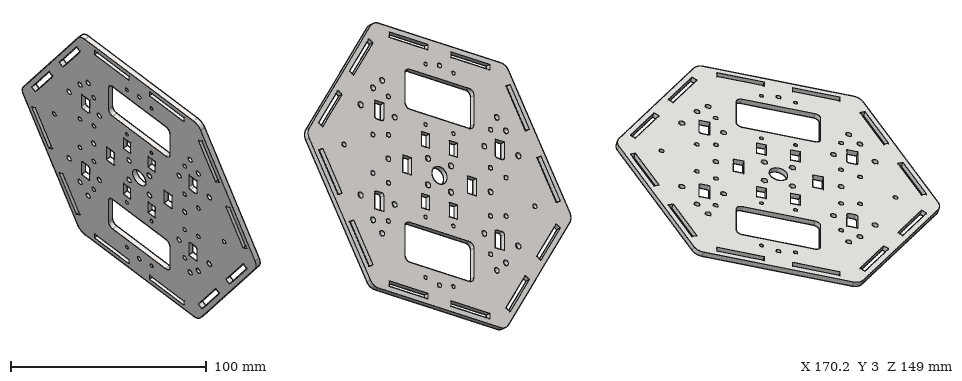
import cadquery as cq
import math

PLATE_THICKNESS = 3.0
CORNER_RADIUS_OF_HEXAGON = 86.0
TIP_TO_TIP = 170.17
SIDES = 6
SIDE_ANGLE = 360.0 / SIDES
TIP_SETBACK = CORNER_RADIUS_OF_HEXAGON - TIP_TO_TIP / 2
CORNER_FILLET = TIP_SETBACK / (1 / math.cos(math.radians(SIDE_ANGLE / 2)) - 1)

SLOT_LENGTH = 25.0
SLOT_WIDTH = 3.0
SLOT_OFFSET = 20.0
SLOT_EDGE_MARGIN = 3.0
APOTHEM = CORNER_RADIUS_OF_HEXAGON * math.cos(math.radians(SIDE_ANGLE / 2))
SLOT_DISTANCE = APOTHEM - SLOT_EDGE_MARGIN - SLOT_WIDTH / 2

WINDOW_WIDTH = 44.5
WINDOW_HEIGHT = 22.4
WINDOW_Z = 43.0
WINDOW_FILLET = 3.0

NOTCH_WIDTH = 5.8
NOTCH_HEIGHT = 10.2
NOTCH_X = 39.0
NOTCH_Z = 25.4
NOTCH_FILLET = 1.2

INNER_OPENING_WIDTH = 5.1
INNER_OPENING_HEIGHT = 8.0
INNER_OPENING_X = 9.0
INNER_OPENING_Z = 17.4
SIDE_OPENING_WIDTH = 5.6
SIDE_OPENING_HEIGHT = 9.7
SIDE_OPENING_X = 21.0

CENTRE_BORE = 9.7

LARGE_HOLE = 3.2
LARGE_HOLE_POINTS = [(7.4, 7.4), (51.0, 25.4)]
MEDIUM_HOLE = 3.0
MEDIUM_HOLE_POINTS = [(33.1, 0), (29.0, 24.5), (43.0, 37.1), (37.1, 43.0)]
SMALL_HOLE = 2.5
SMALL_HOLE_POINTS = [(61.75, 0), (0, 61.75), (33.0, 13.5), (43.1, 10.8), (33.1, 35.0)]
TINY_HOLE = 2.0
TINY_HOLE_POINTS = [(9.0, 26.0), (9.0, 60.0)]


def mirrored(points):
    """Reflect points across both axes, without repeating those on an axis."""
    return sorted({(sx * x, sz * z) for x, z in points for sx in (1, -1) for sz in (1, -1)})


def front_plane():
    """XZ sketch plane at the -Y face of the plate."""
    return cq.Workplane("XZ", origin=(0, -PLATE_THICKNESS / 2, 0))


def through(sketch):
    """Extrude a sketch across the plate thickness, toward +Y."""
    return sketch.extrude(-PLATE_THICKNESS)


def plate():
    outline = front_plane().polygon(SIDES, 2 * CORNER_RADIUS_OF_HEXAGON)
    return through(outline).edges("|Y").fillet(CORNER_FILLET)


def edge_slots(side):
    """Pair of slots along one side, counted in turns of SIDE_ANGLE from the top side."""
    centres = [(-SLOT_OFFSET, SLOT_DISTANCE), (SLOT_OFFSET, SLOT_DISTANCE)]
    pair = through(front_plane().pushPoints(centres).rect(SLOT_LENGTH, SLOT_WIDTH))
    return pair.rotate((0, 0, 0), (0, 1, 0), side * SIDE_ANGLE)


def windows():
    centres = mirrored([(0, WINDOW_Z)])
    boxes = through(front_plane().pushPoints(centres).rect(WINDOW_WIDTH, WINDOW_HEIGHT))
    return boxes.edges("|Y").fillet(WINDOW_FILLET)


def notches(side):
    """Pair of pockets above (side = 1) or below (side = -1) the X axis."""
    centres = [(-NOTCH_X, side * NOTCH_Z), (NOTCH_X, side * NOTCH_Z)]
    boxes = through(front_plane().pushPoints(centres).rect(NOTCH_WIDTH, NOTCH_HEIGHT))
    inward_face = "<Z" if side > 0 else ">Z"
    return boxes.faces(inward_face).edges("|Y").fillet(NOTCH_FILLET)


def openings(points, width, height):
    return through(front_plane().pushPoints(mirrored(points)).rect(width, height))


def holes(points, diameter):
    return through(front_plane().pushPoints(mirrored(points)).circle(diameter / 2))


cutters = [
    *[edge_slots(side) for side in range(SIDES)],
    windows(),
    notches(1),
    notches(-1),
    openings([(INNER_OPENING_X, INNER_OPENING_Z)], INNER_OPENING_WIDTH, INNER_OPENING_HEIGHT),
    openings([(SIDE_OPENING_X, 0)], SIDE_OPENING_WIDTH, SIDE_OPENING_HEIGHT),
    holes([(0, 0)], CENTRE_BORE),
    holes(LARGE_HOLE_POINTS, LARGE_HOLE),
    holes(MEDIUM_HOLE_POINTS, MEDIUM_HOLE),
    holes(SMALL_HOLE_POINTS, SMALL_HOLE),
    holes(TINY_HOLE_POINTS, TINY_HOLE),
]

result = plate()
for cutter in cutters:
    result = result.cut(cutter)